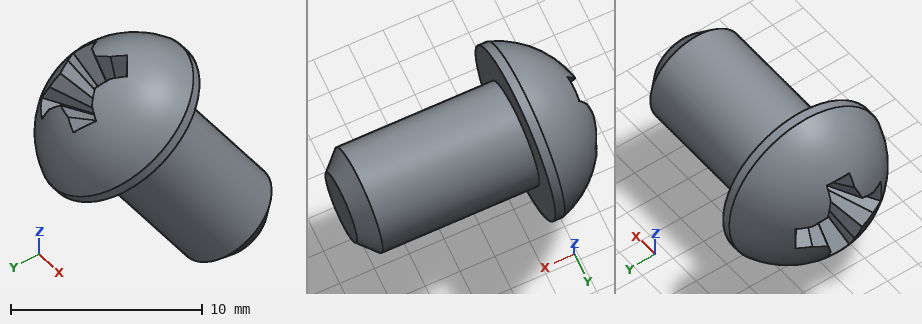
import cadquery as cq
import math

HEAD_DIAMETER = 10.0
HEAD_HEIGHT = 4.2
RIM_THICKNESS = 0.55
SHANK_DIAMETER = 6.0
SHANK_LENGTH = 10.0
TIP_CHAMFER = 1.0

RECESS_DEPTH = 3.05
FLOOR_ARM_END = (1.03, 0.27)
FLOOR_ARM_BEND = (0.7, 0.27)
FLOOR_INNER_CORNER = 0.36
MOUTH_ARM_END = (3.46, 0.92)
MOUTH_ARM_BEND = (2.2, 0.87)
MOUTH_INNER_CORNER = 1.19


def make_body():
    """Revolve the domed head, shank and chamfered tip about X."""
    head_radius = HEAD_DIAMETER / 2
    shank_radius = SHANK_DIAMETER / 2
    dome_height = HEAD_HEIGHT - RIM_THICKNESS
    dome_radius = (head_radius**2 + dome_height**2) / (2 * dome_height)
    dome_center = dome_radius - HEAD_HEIGHT
    half_angle = math.asin(head_radius / dome_radius) / 2
    dome_middle = (
        dome_center - dome_radius * math.cos(half_angle),
        dome_radius * math.sin(half_angle),
    )
    profile = (
        cq.Workplane("XY")
        .moveTo(-HEAD_HEIGHT, 0)
        .threePointArc(dome_middle, (-RIM_THICKNESS, head_radius))
        .lineTo(0, head_radius)
        .lineTo(0, shank_radius)
        .lineTo(SHANK_LENGTH - TIP_CHAMFER, shank_radius)
        .lineTo(SHANK_LENGTH, shank_radius - TIP_CHAMFER)
        .lineTo(SHANK_LENGTH, 0)
        .close()
    )
    return profile.revolve(360, (0, 0, 0), (1, 0, 0))


def cross_outline(arm_end, arm_bend, inner_corner):
    """Return the corners of a cross with four equal, mirrored arms."""
    end_reach, end_half_width = arm_end
    bend_reach, bend_half_width = arm_bend
    arm = [
        (bend_reach, -bend_half_width),
        (end_reach, -end_half_width),
        (end_reach, end_half_width),
        (bend_reach, bend_half_width),
        (inner_corner, inner_corner),
    ]
    points = []
    for _ in range(4):
        points += arm
        arm = [(-v, u) for u, v in arm]
    return points


def make_recess():
    """Loft the tapered cross from its flat floor to the crown plane."""
    floor = cross_outline(FLOOR_ARM_END, FLOOR_ARM_BEND, FLOOR_INNER_CORNER)
    mouth = cross_outline(MOUTH_ARM_END, MOUTH_ARM_BEND, MOUTH_INNER_CORNER)
    return (
        cq.Workplane("YZ", origin=(-HEAD_HEIGHT, 0, 0))
        .polyline(mouth)
        .close()
        .workplane(offset=RECESS_DEPTH)
        .polyline(floor)
        .close()
        .loft(ruled=True)
    )


result = make_body().cut(make_recess())